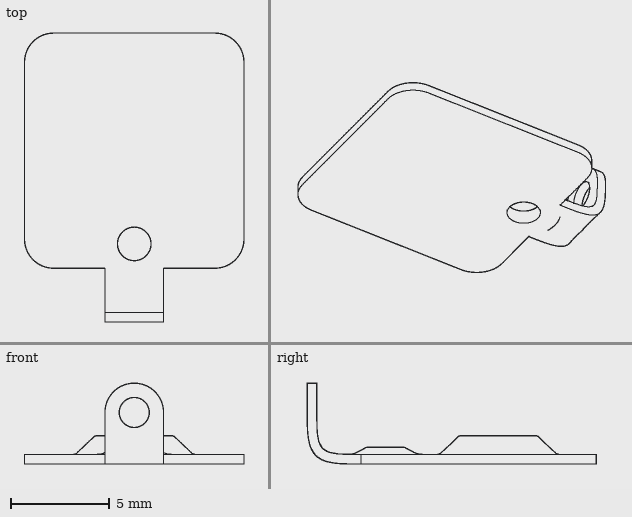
import cadquery as cq
import math

plate_width = 11.2
plate_length = 12.0
sheet_thickness = 0.5
plate_corner_radius = 1.5

lug_width = 3.0
lug_reach = 2.74
lug_height = 4.13
lug_hole_diameter = 1.52
bend_start = 0.5
bend_end_height = 2.28
outer_bend_fullness = 0.82
inner_bend_fullness = 0.89

dome_y = 1.0
dome_flat_radius = 1.9
dome_height = 0.95
dome_slope = math.radians(43.5)
dome_root_fillet = 0.25
dome_crown_fillet = 0.25

collar_y = -4.75
collar_hole_diameter = 1.7
collar_height = 0.358
collar_slope = math.radians(28)
collar_root_fillet = 0.95
collar_lip_fillet = 0.1

plate_edge_y = -plate_length / 2
lug_root_y = plate_edge_y + sheet_thickness
bend_start_y = plate_edge_y - bend_start
lug_outer_y = plate_edge_y - lug_reach
lug_inner_y = lug_outer_y + sheet_thickness
lug_eye_height = lug_height - lug_width / 2


def make_plate():
    plate = cq.Workplane("XY").box(plate_width, plate_length, sheet_thickness, centered=(True, True, False))
    return plate.edges("|Z").fillet(plate_corner_radius)


def bend_curve(start, corner, end, fullness):
    """Bezier points from start to end, tangent to the two lines meeting at corner."""
    start_handle = tuple(s + fullness * (c - s) for s, c in zip(start, corner))
    end_handle = tuple(e + fullness * (c - e) for e, c in zip(end, corner))
    return [start, start_handle, end_handle, end]


def make_bent_strip():
    """Strip that leaves the plate flat and bends upwards into the vertical lug."""
    outer_bend = bend_curve(
        (bend_start_y, 0), (lug_outer_y, 0), (lug_outer_y, bend_end_height), outer_bend_fullness
    )
    inner_bend = bend_curve(
        (lug_inner_y, bend_end_height),
        (lug_inner_y, sheet_thickness),
        (bend_start_y, sheet_thickness),
        inner_bend_fullness,
    )
    return (
        cq.Workplane("YZ", origin=(-lug_width / 2, 0, 0))
        .moveTo(lug_root_y, 0)
        .lineTo(bend_start_y, 0)
        .bezier(outer_bend[1:], includeCurrent=True)
        .lineTo(lug_outer_y, lug_height)
        .lineTo(lug_inner_y, lug_height)
        .lineTo(lug_inner_y, bend_end_height)
        .bezier(inner_bend[1:], includeCurrent=True)
        .lineTo(lug_root_y, sheet_thickness)
        .close()
        .extrude(lug_width)
    )


def make_lug_outline():
    """Front outline of the lug, round-topped and pierced by the eye, along the whole strip."""
    half_width = lug_width / 2
    strip_length = lug_root_y - lug_outer_y
    outline = (
        cq.Workplane("XZ", origin=(0, lug_root_y, 0))
        .moveTo(-half_width, 0)
        .lineTo(half_width, 0)
        .lineTo(half_width, lug_eye_height)
        .threePointArc((0, lug_height), (-half_width, lug_eye_height))
        .close()
        .extrude(strip_length)
    )
    eye = (
        cq.Workplane("XZ", origin=(0, lug_root_y, 0))
        .center(0, lug_eye_height)
        .circle(lug_hole_diameter / 2)
        .extrude(strip_length)
    )
    return outline.cut(eye)


def make_lug():
    return make_bent_strip().intersect(make_lug_outline())


def make_raised_cone(center_y, crown_radius, height, slope, root_fillet, crown_fillet, crown_end):
    """Solid of revolution on the plate: a conical flank between a root arc and a crown arc.

    crown_radius is the distance of the crown arc's centre from the axis. The crown arc
    runs from the flank to crown_end, an angle measured outwards from straight up.
    """
    crown_center_height = height - crown_fillet
    flank_base_radius = (
        crown_radius + crown_center_height / math.tan(slope) + crown_fillet / math.sin(slope)
    )
    root_radius = flank_base_radius + root_fillet * math.tan(slope / 2)
    crown_z = sheet_thickness + crown_center_height
    root_z = sheet_thickness + root_fillet

    def on_root(angle):
        return (root_radius - root_fillet * math.sin(angle), root_z - root_fillet * math.cos(angle))

    def on_crown(angle):
        return (crown_radius + crown_fillet * math.sin(angle), crown_z + crown_fillet * math.cos(angle))

    return (
        cq.Workplane("XZ")
        .moveTo(0, 0)
        .lineTo(root_radius, 0)
        .lineTo(*on_root(0))
        .threePointArc(on_root(slope / 2), on_root(slope))
        .lineTo(*on_crown(slope))
        .threePointArc(on_crown((slope + crown_end) / 2), on_crown(crown_end))
        .lineTo(0, on_crown(crown_end)[1])
        .close()
        .revolve(360, (0, 0, 0), (0, 1, 0))
        .translate((0, center_y, 0))
    )


def make_dome():
    flat_top = 0
    return make_raised_cone(
        dome_y, dome_flat_radius, dome_height, dome_slope, dome_root_fillet, dome_crown_fillet, flat_top
    )


def make_collar():
    lip_radius = collar_hole_diameter / 2 + collar_lip_fillet
    hole_wall = -math.pi / 2
    return make_raised_cone(
        collar_y, lip_radius, collar_height, collar_slope, collar_root_fillet, collar_lip_fillet, hole_wall
    )


def make_collar_hole():
    return (
        cq.Workplane("XY")
        .center(0, collar_y)
        .circle(collar_hole_diameter / 2)
        .extrude(sheet_thickness + collar_height)
    )


result = make_plate().union(make_lug()).union(make_dome()).union(make_collar()).cut(make_collar_hole())